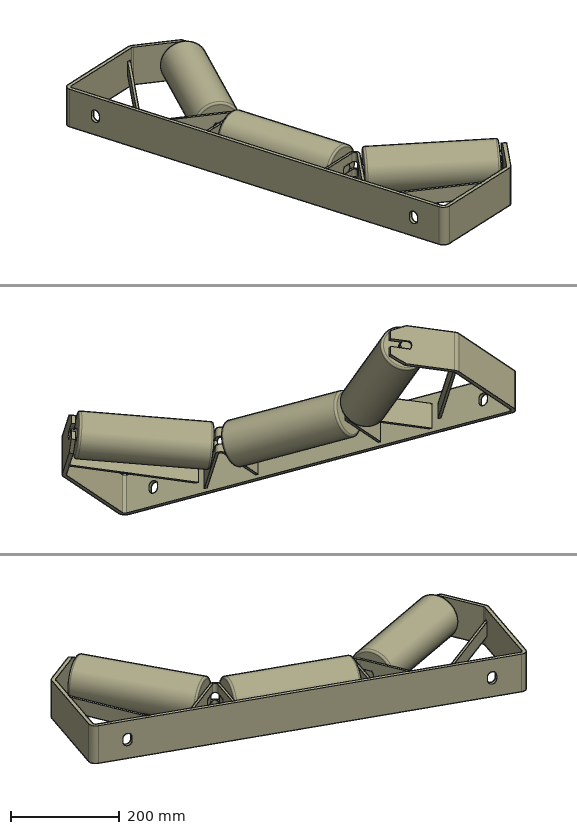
import cadquery as cq
import math

FRAME_LENGTH = 860.0
FRAME_HEIGHT = 77.0
FRAME_THICKNESS = 8.0
FRAME_BEND_RADIUS = 14.0
WING_TOP = 309.0
WING_CHAMFER_RISE = 15.0
WING_CHAMFER_RUN = 30.0

TROUGH_ANGLE = 40.0
ROLLER_TILT = 1.5
ROLLER_DIAMETER = 89.0
ROLLER_LENGTH = 250.0
ROLLER_FILLET = 4.0
SHAFT_DIAMETER = 22.0
SHAFT_END_DIAMETER = 21.0
SHAFT_END_WIDTH = 15.5
SHOULDER_CLEARANCE = 2.0
CENTER_ROLLER_Y = 101.5
SIDE_ROLLER_X = 261.0
SIDE_ROLLER_Y = 196.0
SLOT_REACH = 21.0

PLATE_THICKNESS = 5.0
BRACKET_HEIGHT = 50.0
BRACKET_MIDDLE_Z = -6.0
BRACKET_BEND_RADIUS = 10.0
BRACKET_FACE_OFFSET = 131.0
BRACE_HEIGHT = 30.0
BRACE_FOOT_X = 254.0

MOUNT_X = 359.0
MOUNT_WIDTH = 18.0
MOUNT_HEIGHT = 25.0

HALF_LENGTH = FRAME_LENGTH / 2
ALONG_X = math.cos(math.radians(TROUGH_ANGLE))
ALONG_Y = math.sin(math.radians(TROUGH_ANGLE))
WING_FACE_OFFSET = BRACKET_FACE_OFFSET + FRAME_THICKNESS
SHAFT_HALF_LENGTH = BRACKET_FACE_OFFSET + PLATE_THICKNESS
SIDE_ROLLER_Z = -WING_FACE_OFFSET * math.sin(math.radians(ROLLER_TILT))
CENTER_ROLLER_Z = 2 * SIDE_ROLLER_Z


def strip(face_path, thickness, height, bend_radius=0.0, z_middle=0.0):
    """Bent flat bar; face_path is its outer face, with the metal on the left of the path."""
    directions = []
    for (x0, y0), (x1, y1) in zip(face_path, face_path[1:]):
        length = math.hypot(x1 - x0, y1 - y0)
        directions.append(((x1 - x0) / length, (y1 - y0) / length))
    before = [directions[0]] + directions
    after = directions + [directions[-1]]
    inner_path = []
    for (x, y), (ux, uy), (vx, vy) in zip(face_path, before, after):
        miter = thickness / (1 + ux * vx + uy * vy)
        inner_path.append((x - (uy + vy) * miter, y + (ux + vx) * miter))
    bar = (
        cq.Workplane("XY").workplane(offset=z_middle - height / 2)
        .polyline(face_path + inner_path[::-1]).close().extrude(height)
    )
    for path, radius in ((face_path, bend_radius), (inner_path, bend_radius - thickness)):
        for x, y in path[1:-1]:
            bar = bar.edges(cq.selectors.NearestToPointSelector((x, y, z_middle))).fillet(radius)
    return bar


def mirrored_pair(left):
    return left.union(left.mirror("YZ"))


def at_left_axis(shape, tilt=0.0, z=0.0):
    """Moves a shape from the origin, axis along X, to the left side roller's place in plan."""
    return (
        shape.rotate((0, 0, 0), (0, 1, 0), tilt)
        .rotate((0, 0, 0), (0, 0, 1), -TROUGH_ANGLE)
        .translate((-SIDE_ROLLER_X, SIDE_ROLLER_Y, z))
    )


def at_left_roller(shape):
    return at_left_axis(shape, ROLLER_TILT, SIDE_ROLLER_Z)


def at_center_roller(shape):
    return shape.translate((0, CENTER_ROLLER_Y, CENTER_ROLLER_Z))


def left_roller_plane_point(along, across):
    """Plan position at a distance along the left roller's axis and across it, from its middle."""
    return (
        -SIDE_ROLLER_X + along * ALONG_X + across * ALONG_Y,
        SIDE_ROLLER_Y - along * ALONG_Y + across * ALONG_X,
    )


def cylinder_along_x(diameter, length):
    return cq.Workplane("YZ", origin=(-length / 2, 0, 0)).circle(diameter / 2).extrude(length)


def flatted_bar(length):
    """Bar with the section of a shaft end, two flats facing up and down, centred along X."""
    between_flats = cq.Workplane("XY").box(length, SHAFT_END_DIAMETER, SHAFT_END_WIDTH)
    return cylinder_along_x(SHAFT_END_DIAMETER, length).intersect(between_flats)


def roller():
    """Roller shell on a round shaft with flatted ends, centred on the origin along X."""
    shell = cylinder_along_x(ROLLER_DIAMETER, ROLLER_LENGTH).edges().fillet(ROLLER_FILLET)
    round_shaft = cylinder_along_x(SHAFT_DIAMETER, 2 * (BRACKET_FACE_OFFSET - SHOULDER_CLEARANCE))
    return shell.union(round_shaft).union(flatted_bar(2 * SHAFT_HALF_LENGTH))


def shaft_slots():
    """Cutter for the two open slots that hold a roller's flatted shaft ends."""
    length = 2 * (BRACKET_FACE_OFFSET + SLOT_REACH)
    opening = cq.Workplane("XY").box(length, ROLLER_DIAMETER, SHAFT_END_WIDTH, centered=(True, False, True))
    return flatted_bar(length).union(opening)


def left_wing_corners(end_across):
    """Triangular offcuts at the upper and lower corner of the left wing's free end."""
    top = FRAME_HEIGHT / 2
    corners = cq.Workplane("YZ", origin=(-WING_FACE_OFFSET - FRAME_THICKNESS, 0, 0))
    for edge, inward in ((top, -1), (-top, 1)):
        corners = corners.polyline([
            (end_across, edge),
            (end_across - WING_CHAMFER_RUN, edge),
            (end_across, edge + inward * WING_CHAMFER_RISE),
        ]).close()
    corners = corners.extrude(3 * FRAME_THICKNESS)
    return at_left_axis(corners)


def outer_frame():
    """Base, two uprights and two inclined wings, bent from one bar."""
    wing_x, wing_y = left_roller_plane_point(-WING_FACE_OFFSET, 0)
    bend_y = wing_y - (HALF_LENGTH + wing_x) * ALONG_X / ALONG_Y
    end_across = (WING_TOP - wing_y) / ALONG_X
    end_x, end_y = left_roller_plane_point(-WING_FACE_OFFSET, end_across)
    path = [
        (end_x, end_y), (-HALF_LENGTH, bend_y), (-HALF_LENGTH, 0),
        (HALF_LENGTH, 0), (HALF_LENGTH, bend_y), (-end_x, end_y),
    ]
    frame = strip(path, FRAME_THICKNESS, FRAME_HEIGHT, FRAME_BEND_RADIUS)
    frame = frame.cut(mirrored_pair(left_wing_corners(end_across)))
    mounts = (
        cq.Workplane("XZ").pushPoints([(-MOUNT_X, 0), (MOUNT_X, 0)])
        .slot2D(MOUNT_HEIGHT, MOUNT_WIDTH, 90).extrude(FRAME_THICKNESS, both=True)
    )
    return frame.cut(mounts)


def left_inner_plates():
    """V bracket and brace of the left side, trimmed to the inside faces of the frame."""
    face_x, face_y = left_roller_plane_point(BRACKET_FACE_OFFSET, 0)
    slope = ALONG_X / ALONG_Y
    apex = (-BRACKET_FACE_OFFSET, face_y + (-BRACKET_FACE_OFFSET - face_x) * slope)
    arm_foot = (face_x - face_y / slope, 0)
    bracket = strip([(-BRACKET_FACE_OFFSET, 0), apex, arm_foot],
                    PLATE_THICKNESS, BRACKET_HEIGHT, BRACKET_BEND_RADIUS, BRACKET_MIDDLE_Z)
    brace_run = HALF_LENGTH - BRACE_FOOT_X
    brace = strip([(-BRACE_FOOT_X, 0), (-HALF_LENGTH, brace_run * slope)],
                  PLATE_THICKNESS, BRACE_HEIGHT)
    inside = cq.Workplane("XY").box(HALF_LENGTH, WING_TOP, FRAME_HEIGHT, centered=(False, False, True))
    inside = inside.translate((FRAME_THICKNESS - HALF_LENGTH, FRAME_THICKNESS, 0))
    return bracket.union(brace).intersect(inside)


def support_frame():
    """One welded body: outer frame, inner plates and the slots for every shaft end."""
    slots = shaft_slots()
    return (
        outer_frame().union(mirrored_pair(left_inner_plates()))
        .cut(mirrored_pair(at_left_roller(slots)))
        .cut(at_center_roller(slots))
    )


support = support_frame()
center_roller = at_center_roller(roller())
left_roller = at_left_roller(roller())
right_roller = left_roller.mirror("YZ")

result = cq.Compound.makeCompound(
    [support.val(), center_roller.val(), left_roller.val(), right_roller.val()]
)